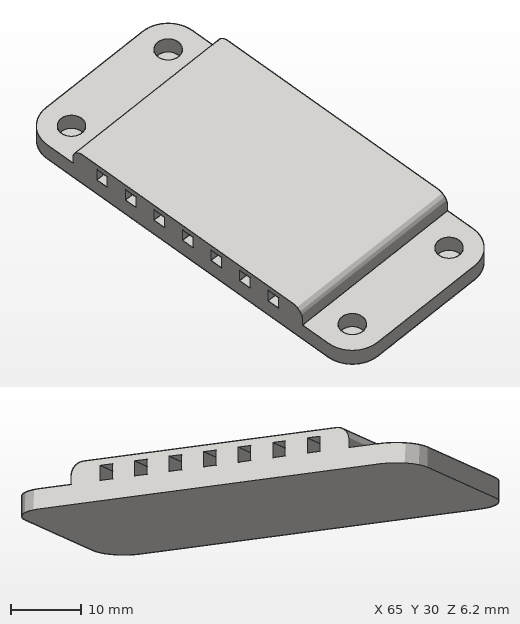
import cadquery as cq

length = 65.0
width = 30.0
height = 6.2
plate_thickness = 3.0
corner_radius = 5.0

block_length = 45.0
block_edge_radius = 2.0

hole_diameter = 4.0
hole_floor = 0.2

channel_count = 7
channel_pitch = 5.6
channel_width = 2.0
channel_height = 2.2
channel_bottom = plate_thickness


def make_plate():
    plate = cq.Workplane("XY").box(length, width, plate_thickness, centered=(True, True, False))
    return plate.edges("|Z").fillet(corner_radius)


def make_block():
    block = cq.Workplane("XY").box(block_length, width, height, centered=(True, True, False))
    return block.edges("|Y and >Z").fillet(block_edge_radius)


def make_holes():
    spacing_x = length - 2 * corner_radius
    spacing_y = width - 2 * corner_radius
    return (
        cq.Workplane("XY", origin=(0, 0, hole_floor))
        .rarray(spacing_x, spacing_y, 2, 2)
        .circle(hole_diameter / 2)
        .extrude(plate_thickness - hole_floor)
    )


def make_channels():
    channel_center_z = channel_bottom + channel_height / 2
    return (
        cq.Workplane("XZ", origin=(0, 0, channel_center_z))
        .rarray(channel_pitch, 0.65, channel_count, 1)
        .rect(channel_width, channel_height)
        .extrude(width / 2, both=True)
    )


result = make_plate().union(make_block()).cut(make_holes()).cut(make_channels())